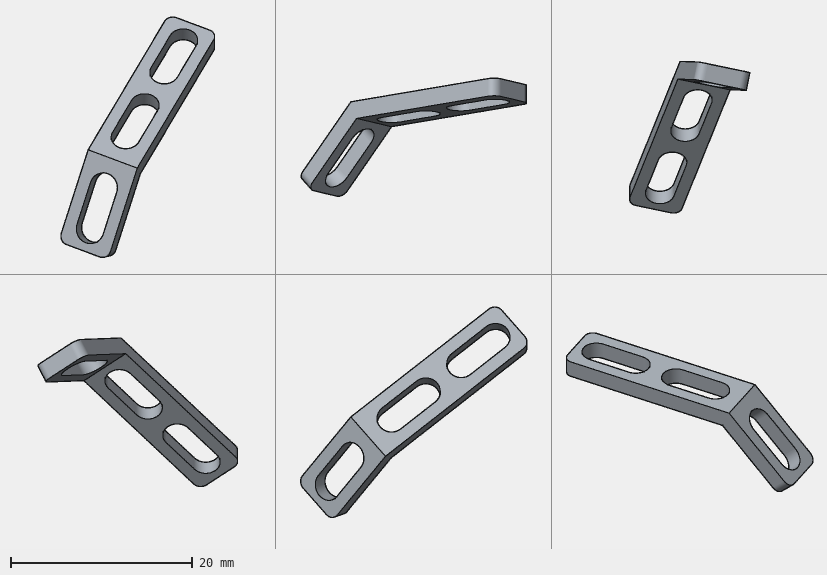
import cadquery as cq
import math

total_length = 28.45
width = 6.0
thickness = 2.0
bend_angle = 45.0
arm_length = 10.81
corner_radius = 1.0

slot_length = 8.1
slot_width = 3.2
slot_end_distance = 5.0
slot_pitch = 10.0

bend = math.radians(bend_angle)
flat_length = total_length - arm_length * math.cos(bend)
bend_setback = thickness * math.tan(bend / 2)

flat_plane = cq.Plane(origin=(0, 0, 0), xDir=(1, 0, 0), normal=(0, 0, 1))
arm_plane = flat_plane.rotated((bend_angle, 0, 0))


def slot_cutter(plane, center):
    """Lengthwise slot through the leg below the plane."""
    return (
        cq.Workplane(plane)
        .center(0, center)
        .slot2D(slot_length, slot_width, 90)
        .extrude(-thickness)
    )


def bent_strap():
    """Side profile of both legs with a sharp mitred bend, extruded across the width."""
    along_arm = (-math.cos(bend), -math.sin(bend))
    into_arm = (math.sin(bend), -math.cos(bend))
    tip_upper = (arm_length * along_arm[0], arm_length * along_arm[1])
    tip_lower = (
        tip_upper[0] + thickness * into_arm[0],
        tip_upper[1] + thickness * into_arm[1],
    )
    outline = [
        (0, 0),
        (flat_length, 0),
        (flat_length, -thickness),
        (bend_setback, -thickness),
        tip_lower,
        tip_upper,
    ]
    return cq.Workplane("YZ").polyline(outline).close().extrude(width / 2, both=True)


strap = bent_strap()
strap = strap.edges("|Z").fillet(corner_radius)
arm_normal = arm_plane.zDir
strap = strap.edges(cq.selectors.ParallelDirSelector(arm_normal)).fillet(corner_radius)

first_slot = flat_length - slot_end_distance
for slot_center in (first_slot, first_slot - slot_pitch):
    strap = strap.cut(slot_cutter(flat_plane, slot_center))
strap = strap.cut(slot_cutter(arm_plane, slot_end_distance - arm_length))

result = strap